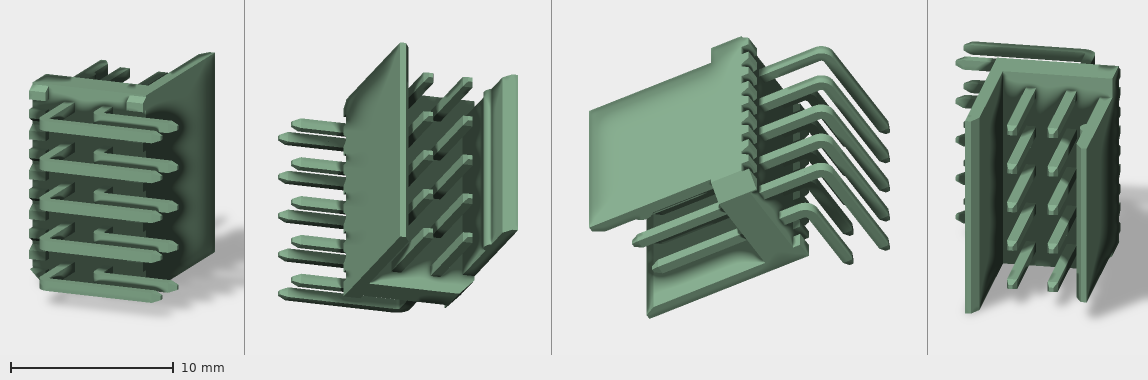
import cadquery as cq
import math


ROWS = 5
LENGTH = 12.7
PITCH = LENGTH / ROWS
ROW_HEIGHTS = [(row - (ROWS - 1) / 2) * PITCH for row in range(ROWS)]

WIDTH = 7.6
BASE_DEPTH = 2.15
WALL_THICKNESS = 0.77
WALL_LENGTH = 8.56
LEAD_IN_WIDTH = 0.4
LEAD_IN_LENGTH = 0.71
BUMP_CHORD = 1.2
BUMP_HEIGHT = 0.3
BUMP_FROM_TIP = 3.45
CORNER_BEVEL = 1.0

FOOT_DEPTH = 0.5
FOOT_WIDTH = 1.1
FOOT_GAP = 0.22
FOOT_BEVEL_ANGLE = 30
FOOT_BEVEL_RISE = FOOT_DEPTH * math.tan(math.radians(FOOT_BEVEL_ANGLE))

PIN_SIZE = 0.63
PIN_BEND_INNER = 0.2
TIP_LENGTH = 0.51
TIP_SIZE = 0.28
PIN_FROM_WALL_TIP = 1.67
BACK_REACH = 4.25
SIDE_REACH = 2.9

HALF_WIDTH = WIDTH / 2
HALF_LENGTH = LENGTH / 2
WALL_TIP_Y = BASE_DEPTH + WALL_LENGTH
MATING_TIP_Y = WALL_TIP_Y - PIN_FROM_WALL_TIP
SOLDER_TIP_X = HALF_WIDTH + SIDE_REACH
BEND_RADIUS = PIN_BEND_INNER + PIN_SIZE / 2
TIP_TAPER = math.degrees(math.atan((PIN_SIZE - TIP_SIZE) / 2 / TIP_LENGTH))

OUTER_LEG_Y = -(FOOT_DEPTH + BACK_REACH - PIN_SIZE / 2)
PIN_COLUMNS = [(-PITCH / 2, OUTER_LEG_Y), (PITCH / 2, OUTER_LEG_Y + PITCH)]


def slab(z_bottom, z_top):
    """Block that covers the whole connector between two heights."""
    side = 2 * (WALL_TIP_Y + FOOT_DEPTH + BACK_REACH)
    return cq.Workplane("XY", origin=(0, 0, z_bottom)).rect(side, side).extrude(z_top - z_bottom)


def base(z_bottom, z_top):
    """Cross block that carries the pins."""
    return (
        cq.Workplane("XY", origin=(0, BASE_DEPTH / 2, z_bottom))
        .rect(WIDTH, BASE_DEPTH)
        .extrude(z_top - z_bottom)
    )


def right_wall(z_bottom, z_top):
    """Plain +X side wall with a bevelled tip."""
    inner = HALF_WIDTH - WALL_THICKNESS
    return (
        cq.Workplane("XY", origin=(0, 0, z_bottom))
        .moveTo(HALF_WIDTH, 0)
        .lineTo(HALF_WIDTH, WALL_TIP_Y)
        .lineTo(inner + LEAD_IN_WIDTH, WALL_TIP_Y)
        .lineTo(inner, WALL_TIP_Y - LEAD_IN_LENGTH)
        .lineTo(inner, 0)
        .close()
        .extrude(z_top - z_bottom)
    )


def left_wall(z_bottom, z_top):
    """-X side wall: the mirrored +X wall with a rounded polarising rib inside."""
    inner = WALL_THICKNESS - HALF_WIDTH
    bump_y = WALL_TIP_Y - BUMP_FROM_TIP
    bump = (
        cq.Workplane("XY", origin=(0, 0, z_bottom))
        .moveTo(inner, bump_y - BUMP_CHORD / 2)
        .threePointArc((inner + BUMP_HEIGHT, bump_y), (inner, bump_y + BUMP_CHORD / 2))
        .close()
        .extrude(z_top - z_bottom)
    )
    return right_wall(z_bottom, z_top).mirror("YZ").union(bump)


def foot(x_start, row_z, bevel_bottom):
    """Foot one row tall, bevelled at the ends that face a gap and slotted level with the pins."""
    top = row_z + (PITCH - FOOT_GAP) / 2
    outline = [(0, top), (-FOOT_DEPTH, top - FOOT_BEVEL_RISE)]
    if bevel_bottom:
        bottom = row_z - (PITCH - FOOT_GAP) / 2
        outline += [(-FOOT_DEPTH, bottom + FOOT_BEVEL_RISE), (0, bottom)]
    else:
        bottom = row_z - PITCH / 2
        outline += [(-FOOT_DEPTH, bottom), (0, bottom)]
    body = cq.Workplane("YZ", origin=(x_start, 0, 0)).polyline(outline).close().extrude(FOOT_WIDTH)
    slot = cq.Workplane("XY").box(FOOT_WIDTH, FOOT_DEPTH, PIN_SIZE)
    return body.cut(slot.translate((x_start + FOOT_WIDTH / 2, -FOOT_DEPTH / 2, row_z)))


def pin(column_x, leg_y, row_z):
    """Square pin bent through a right angle, tapered at both ends."""
    shaft_top = MATING_TIP_Y - TIP_LENGTH
    shaft_end = SOLDER_TIP_X - TIP_LENGTH
    arc_inset = BEND_RADIUS * (1 - math.cos(math.radians(45)))
    path = (
        cq.Workplane("XY", origin=(0, 0, row_z))
        .moveTo(column_x, shaft_top)
        .lineTo(column_x, leg_y + BEND_RADIUS)
        .threePointArc(
            (column_x + arc_inset, leg_y + arc_inset),
            (column_x + BEND_RADIUS, leg_y),
        )
        .lineTo(shaft_end, leg_y)
    )
    mating_end = cq.Plane(origin=(column_x, shaft_top, row_z), xDir=(1, 0, 0), normal=(0, 1, 0))
    solder_end = cq.Plane(origin=(shaft_end, leg_y, row_z), xDir=(0, 1, 0), normal=(1, 0, 0))
    bent_bar = cq.Workplane(mating_end).rect(PIN_SIZE, PIN_SIZE).sweep(path)
    for end in (mating_end, solder_end):
        bent_bar = bent_bar.union(
            cq.Workplane(end).rect(PIN_SIZE, PIN_SIZE).extrude(TIP_LENGTH, taper=TIP_TAPER)
        )
    return bent_bar


def corner_bevel_cutter():
    """Wedge that bevels the bottom -X corner of the base and its foot."""
    return (
        cq.Workplane("XZ", origin=(0, BASE_DEPTH, 0))
        .polyline([
            (-HALF_WIDTH, -HALF_LENGTH),
            (-HALF_WIDTH + CORNER_BEVEL, -HALF_LENGTH),
            (-HALF_WIDTH, -HALF_LENGTH + CORNER_BEVEL),
        ])
        .close()
        .extrude(BASE_DEPTH + FOOT_DEPTH)
    )


def section(z_bottom, z_top):
    """Base, +X wall, feet and pins joined as one piece between two heights."""
    body = base(z_bottom, z_top).union(right_wall(z_bottom, z_top))
    limits = slab(z_bottom, z_top)
    for row_z in [row_z for row_z in ROW_HEIGHTS if z_bottom <= row_z <= z_top]:
        bevel_bottom = row_z != ROW_HEIGHTS[0]
        for x_start in (-HALF_WIDTH, HALF_WIDTH - FOOT_WIDTH):
            body = body.union(foot(x_start, row_z, bevel_bottom).intersect(limits))
        for column_x, leg_y in PIN_COLUMNS:
            body = body.union(pin(column_x, leg_y, row_z).intersect(limits))
    return body


bottom_end = section(-HALF_LENGTH, ROW_HEIGHTS[0]).cut(corner_bevel_cutter())
middle = section(ROW_HEIGHTS[0], ROW_HEIGHTS[-1]).union(left_wall(ROW_HEIGHTS[0], ROW_HEIGHTS[-1]))
top_end = section(ROW_HEIGHTS[-1], HALF_LENGTH)

result = cq.Compound.makeCompound([
    bottom_end.solids().val(),
    middle.solids().val(),
    top_end.solids().val(),
])